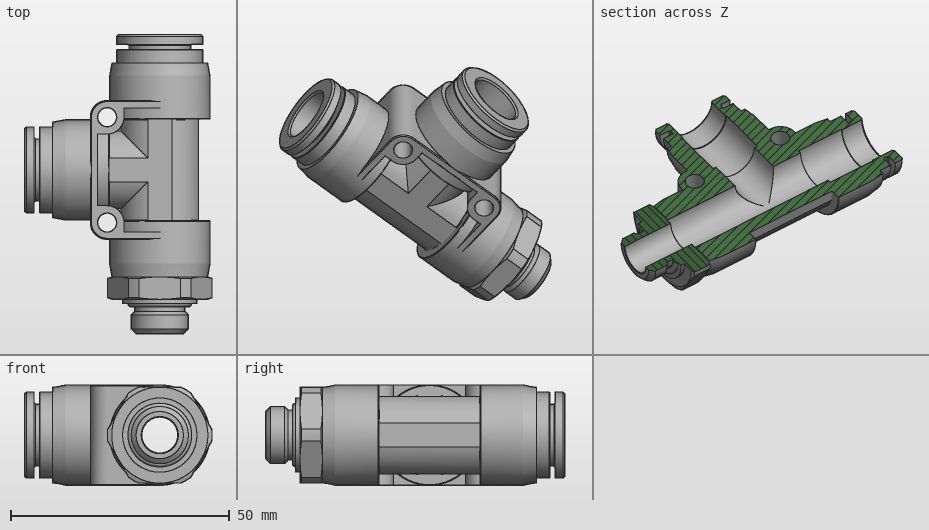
import cadquery as cq
import math


PORT_LENGTH = 31.0
SLEEVE_RADIUS = 11.5
SLEEVE_START = 11.6
SLEEVE_EDGE_FILLET = 0.15
TAPER_START = 21.5
SLEEVE_END = 24.5
SLEEVE_END_RADIUS = 10.95
COLLET_RADIUS = 9.87
COLLET_GROOVE_RADIUS = 7.1
COLLET_GROOVE_START = 27.55
COLLET_CAP_START = 28.75
COLLET_CHAMFER = 0.45
COLLET_SHOULDER_CHAMFER = 0.15
COLLET_ROOT_CHAMFER = 0.3

TUBE_BORE_RADIUS = 6.0
TUBE_BORE_START = 13.0
TUBE_RELIEF_RADIUS = 6.2
TUBE_RELIEF_END = 25.1
MOUTH_CHAMFER = 0.4
INNER_BORE_RADIUS = 5.4

CORE_HALF_WIDTH = 8.87
CORE_FLAT_WIDTH = 5.5
CORE_RADIUS = math.hypot(CORE_HALF_WIDTH, CORE_FLAT_WIDTH / 2)

BRACKET_HOLE_OFFSET = 12.05
BRACKET_HOLE_RADIUS = 2.15
BRACKET_BOSS_RADIUS = 3.85
BRACKET_OUTER = BRACKET_HOLE_OFFSET + BRACKET_BOSS_RADIUS
BRACKET_WALL = 1.7
BRACKET_HEIGHT = 2 * SLEEVE_RADIUS
BRACKET_EDGE_CHAMFER = 0.25

STUD_LENGTH = 37.5
HEX_ACROSS_FLATS = 22.0
HEX_CORNER_RADIUS = 12.0
HEX_END = 29.6
HEX_CHAMFER_HEIGHT = 0.35
COLLAR_RADIUS = 8.5
COLLAR_END = 30.6
SEAL_RADIUS = 7.3
SEAL_END = 31.35
NECK_RADIUS = 5.75
NECK_END = 32.35
THREAD_RADIUS = 6.55
THREAD_END_CHAMFER = 1.15
STUD_BORE_RADIUS = 4.1
STUD_BORE_CHAMFER = 0.15


def turned(points):
    """Turn a profile of (radius, distance) points about the Y axis."""
    return cq.Workplane("XY").polyline(points).close().revolve(360, (0, 0, 0), (0, 1, 0))


def to_branch(shape):
    """Swing a shape lying along +Y round to -X."""
    return shape.rotate((0, 0, 0), (0, 0, 1), 90)


def rod_along_y(radius, start, end):
    return turned([(0, start), (radius, start), (radius, end), (0, end)])


def sleeve():
    return turned([
        (0, SLEEVE_START),
        (SLEEVE_RADIUS, SLEEVE_START),
        (SLEEVE_RADIUS, TAPER_START),
        (SLEEVE_END_RADIUS, SLEEVE_END),
        (0, SLEEVE_END),
    ])


def collet():
    return turned([
        (0, SLEEVE_END),
        (COLLET_RADIUS, SLEEVE_END),
        (COLLET_RADIUS, COLLET_GROOVE_START - COLLET_SHOULDER_CHAMFER),
        (COLLET_RADIUS - COLLET_SHOULDER_CHAMFER, COLLET_GROOVE_START),
        (COLLET_GROOVE_RADIUS, COLLET_GROOVE_START),
        (COLLET_GROOVE_RADIUS, COLLET_CAP_START - COLLET_ROOT_CHAMFER),
        (COLLET_GROOVE_RADIUS + COLLET_ROOT_CHAMFER, COLLET_CAP_START),
        (COLLET_RADIUS, COLLET_CAP_START),
        (COLLET_RADIUS, PORT_LENGTH - COLLET_CHAMFER),
        (COLLET_RADIUS - COLLET_CHAMFER, PORT_LENGTH),
        (0, PORT_LENGTH),
    ])


def port_bore():
    """Tube socket with a chamfered mouth, widened behind the collet, ending at the inner bore."""
    return turned([
        (0, 0),
        (INNER_BORE_RADIUS, 0),
        (INNER_BORE_RADIUS, TUBE_BORE_START),
        (TUBE_RELIEF_RADIUS, TUBE_BORE_START),
        (TUBE_RELIEF_RADIUS, TUBE_RELIEF_END),
        (TUBE_BORE_RADIUS, TUBE_RELIEF_END),
        (TUBE_BORE_RADIUS, PORT_LENGTH - MOUTH_CHAMFER),
        (TUBE_BORE_RADIUS + MOUTH_CHAMFER, PORT_LENGTH),
        (0, PORT_LENGTH),
    ])


def arm():
    """Core rod cut flat on four sides, leading to a sleeve with a rounded rim and root."""
    width = 2 * CORE_HALF_WIDTH
    squared_bar = cq.Workplane("XY").box(width, 2 * SLEEVE_START, width)
    rod = rod_along_y(CORE_RADIUS, 0, SLEEVE_START).intersect(squared_bar)
    step_face = cq.selectors.BoxSelector(
        (-SLEEVE_RADIUS, SLEEVE_START - SLEEVE_EDGE_FILLET, -SLEEVE_RADIUS),
        (SLEEVE_RADIUS, SLEEVE_START + SLEEVE_EDGE_FILLET, SLEEVE_RADIUS),
    )
    return rod.union(sleeve()).edges(step_face).fillet(SLEEVE_EDGE_FILLET)


def tee():
    return arm().union(arm().mirror("XZ")).union(to_branch(arm()))


def corner_webs():
    """Thin webs at mid height filling the corners between the core and the bosses."""
    span = BRACKET_HOLE_OFFSET
    return cq.Workplane("XY").center(-span / 2, 0).rect(span, 2 * span).extrude(CORE_FLAT_WIDTH / 2, both=True)


def bracket():
    """C-shaped wall round the branch, with a boss in each corner."""
    base = cq.Workplane("XY").workplane(offset=-BRACKET_HEIGHT / 2)
    plate = (
        base.center(-BRACKET_OUTER / 2, 0)
        .rect(BRACKET_OUTER, 2 * BRACKET_OUTER)
        .extrude(BRACKET_HEIGHT)
        .edges("|Z and <X")
        .fillet(BRACKET_BOSS_RADIUS)
        .faces("<Z or >Z")
        .edges("not >X")
        .chamfer(BRACKET_EDGE_CHAMFER)
    )
    inner = BRACKET_OUTER - BRACKET_WALL
    opening = base.center(-inner / 2, 0).rect(inner, 2 * inner).extrude(BRACKET_HEIGHT)
    shape = plate.cut(opening)
    boss_width = 2 * BRACKET_BOSS_RADIUS
    for side, inner_edge in ((-1, "|Z and >X and >Y"), (1, "|Z and >X and <Y")):
        boss = (
            base.center(-BRACKET_HOLE_OFFSET, side * BRACKET_HOLE_OFFSET)
            .rect(boss_width, boss_width)
            .extrude(BRACKET_HEIGHT)
            .edges(inner_edge)
            .fillet(BRACKET_BOSS_RADIUS)
        )
        shape = shape.union(boss.intersect(plate))
    return shape


def bracket_holes():
    return (
        cq.Workplane("XY")
        .workplane(offset=-BRACKET_HEIGHT / 2)
        .pushPoints([(-BRACKET_HOLE_OFFSET, side * BRACKET_HOLE_OFFSET) for side in (-1, 1)])
        .circle(BRACKET_HOLE_RADIUS)
        .extrude(BRACKET_HEIGHT)
    )


def make_housing():
    body = tee().union(bracket()).union(corner_webs())
    body = body.union(collet()).union(to_branch(collet()))
    body = body.cut(port_bore()).cut(to_branch(port_bore()))
    body = body.cut(rod_along_y(INNER_BORE_RADIUS, -SLEEVE_END, 0))
    return body.cut(bracket_holes())


def hexagon():
    """Hexagon with flats facing +Z and -Z, its corners turned and chamfered."""
    flat_radius = HEX_ACROSS_FLATS / 2
    prism = (
        cq.Workplane("XZ", origin=(0, -SLEEVE_END, 0))
        .polygon(6, HEX_ACROSS_FLATS / math.cos(math.pi / 6))
        .extrude(HEX_END - SLEEVE_END)
    )
    blank = turned([
        (0, -SLEEVE_END),
        (flat_radius, -SLEEVE_END),
        (HEX_CORNER_RADIUS, -SLEEVE_END - HEX_CHAMFER_HEIGHT),
        (HEX_CORNER_RADIUS, -HEX_END + HEX_CHAMFER_HEIGHT),
        (flat_radius, -HEX_END),
        (0, -HEX_END),
    ])
    return prism.intersect(blank)


def stud_tip():
    """Collar, rounded sealing ring, neck and thread, turned as one profile."""
    thread_start = NECK_END + (THREAD_RADIUS - NECK_RADIUS)
    seal_middle = (SEAL_RADIUS + NECK_RADIUS) / 2
    return (
        cq.Workplane("XY")
        .moveTo(0, -HEX_END)
        .lineTo(COLLAR_RADIUS, -HEX_END)
        .lineTo(COLLAR_RADIUS, -COLLAR_END)
        .lineTo(SEAL_RADIUS, -COLLAR_END)
        .threePointArc((seal_middle, -SEAL_END), (NECK_RADIUS, -COLLAR_END))
        .lineTo(NECK_RADIUS, -NECK_END)
        .lineTo(THREAD_RADIUS, -thread_start)
        .lineTo(THREAD_RADIUS, -STUD_LENGTH + THREAD_END_CHAMFER)
        .lineTo(THREAD_RADIUS - THREAD_END_CHAMFER, -STUD_LENGTH)
        .lineTo(0, -STUD_LENGTH)
        .close()
        .revolve(360, (0, 0, 0), (0, 1, 0))
    )


def make_stud():
    bore = turned([
        (0, -SLEEVE_END),
        (STUD_BORE_RADIUS, -SLEEVE_END),
        (STUD_BORE_RADIUS, -STUD_LENGTH + STUD_BORE_CHAMFER),
        (STUD_BORE_RADIUS + STUD_BORE_CHAMFER, -STUD_LENGTH),
        (0, -STUD_LENGTH),
    ])
    return hexagon().union(stud_tip()).cut(bore)


housing = make_housing()
stud = make_stud()

result = cq.Compound.makeCompound([housing.val(), stud.val()])